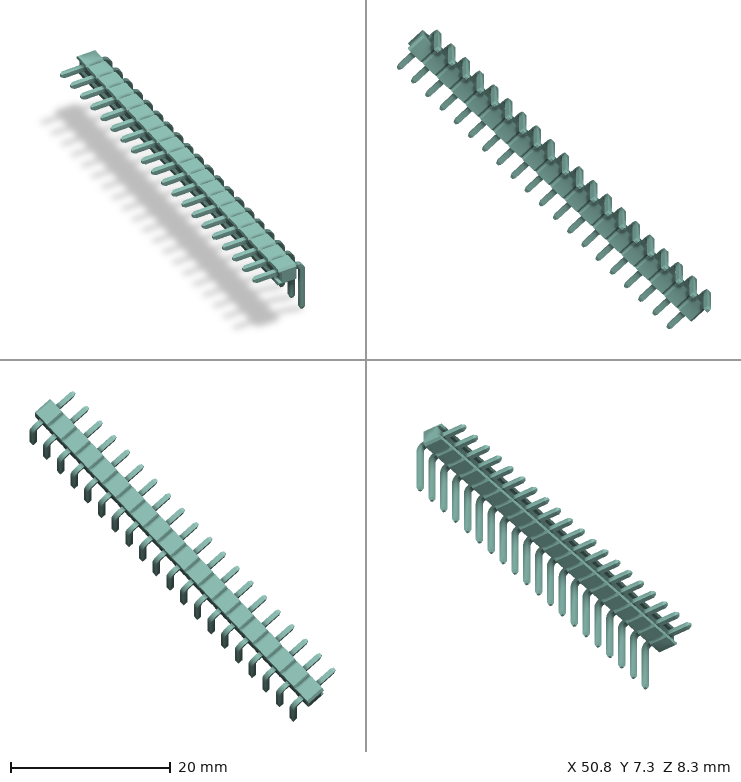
import cadquery as cq

pin_count = 20
row_length = 50.8
pitch = row_length / pin_count

housing_depth = 2.55
housing_height = 2.55
notch_size = 0.3
recess_height = 1.5
recess_depth = 0.45

pin_size = 0.65
half_pin = pin_size / 2
overall_depth = 7.3
overall_height = 8.3
tail_offset = 1.8
bend_inner_radius = 0.45
bend_outer_radius = bend_inner_radius + pin_size
tip_length = 0.4
tip_size = 0.35

housing_top = housing_height / 2
tail_back = tail_offset
tail_front = tail_back - pin_size
tail_end = housing_top - overall_height
mating_end = tail_back - overall_depth


def housing_cell(x_center):
    """One cell of the housing, beveled where it meets its neighbors."""
    return (
        cq.Workplane("XY")
        .box(pitch, housing_depth, housing_height)
        .edges("|Y")
        .chamfer(notch_size)
        .translate((x_center, -housing_depth / 2, 0))
    )


def front_recess():
    """Channel along the full length of the front face."""
    return cq.Workplane("XY").box(row_length, recess_depth, recess_height).translate(
        (0, -housing_depth + recess_depth / 2, 0)
    )


def tapered_tip(base_plane):
    """Truncated pyramid that points along the normal of its base plane."""
    return (
        cq.Workplane(base_plane)
        .rect(pin_size, pin_size)
        .workplane(offset=tip_length)
        .rect(tip_size, tip_size)
        .loft(ruled=True)
    )


def bent_pin():
    """Square pin with a rounded right-angle bend and a taper at both ends, centered on X = 0."""
    shank_end = mating_end + tip_length
    tail_shank_end = tail_end + tip_length
    shank = (
        cq.Workplane("YZ")
        .moveTo(shank_end, half_pin)
        .lineTo(tail_back - bend_outer_radius, half_pin)
        .radiusArc((tail_back, half_pin - bend_outer_radius), bend_outer_radius)
        .lineTo(tail_back, tail_shank_end)
        .lineTo(tail_front, tail_shank_end)
        .lineTo(tail_front, -half_pin - bend_inner_radius)
        .radiusArc((tail_front - bend_inner_radius, -half_pin), -bend_inner_radius)
        .lineTo(shank_end, -half_pin)
        .close()
        .extrude(half_pin, both=True)
    )
    mating_plane = cq.Plane(origin=(0, shank_end, 0), xDir=(1, 0, 0), normal=(0, -1, 0))
    tail_plane = cq.Plane(
        origin=(0, tail_back - half_pin, tail_shank_end), xDir=(1, 0, 0), normal=(0, 0, -1)
    )
    return shank.union(tapered_tip(mating_plane)).union(tapered_tip(tail_plane))


cell_centers = [(i - (pin_count - 1) / 2) * pitch for i in range(pin_count)]

housing = housing_cell(cell_centers[0])
for x_center in cell_centers[1:]:
    housing = housing.union(housing_cell(x_center))
housing = housing.cut(front_recess())

pin = bent_pin()
result = housing
for x_center in cell_centers:
    result = result.union(pin.translate((x_center, 0, 0)))